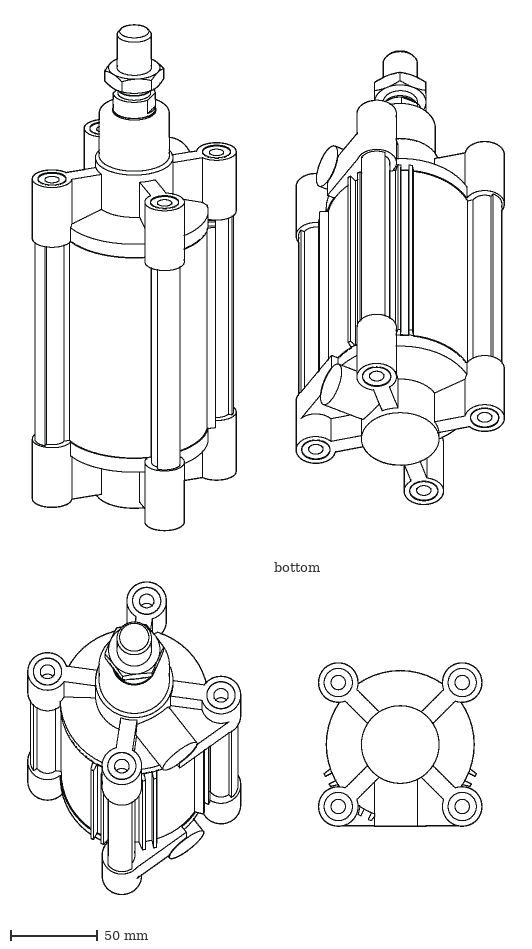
import cadquery as cq
import math

TOTAL_HEIGHT = 298.5
HEAD_HEIGHT = 38.8
REAR_HUB_STANDOUT = 4.0
BARREL_LENGTH = 130.0
REAR_FACE_Z = REAR_HUB_STANDOUT + HEAD_HEIGHT
FRONT_FACE_Z = REAR_FACE_Z + BARREL_LENGTH

CORNER_SPACING = 72.0
CORNER_OFFSET = CORNER_SPACING / 2
BOSS_RADIUS = 23.0 / 2
BOSS_RECESS_DIAMETER = 16.5
BOSS_RECESS_DEPTH = 0.5
BOSS_HOLE_DIAMETER = 8.5
BOSS_HOLE_DEPTH = 18.0
RIB_WIDTH = 9.5
FLANGE_RADIUS = 43.0
FLANGE_HEIGHT = 9.0
CONE_HEIGHT = 7.2
HUB_RADIUS = 45.0 / 2
COLLAR_RADIUS = 41.0 / 2
FRONT_HUB_STANDOUT = 6.3
HUB_SHOULDER_HEIGHT = 1.5
COLLAR_TOP_Z = 247.2
COLLAR_FILLET = 2.0
PORT_DIAMETER = 25.0
PORT_OFFSET_X = 2.5
PORT_AXIS_HEIGHT = 23.0
PAD_HEIGHT = 21.0
PAD_REACH_Y = 47.2

BARREL_RADIUS = 42.5
CORNER_BEAM_RADIUS = 15.2 / 2
CORNER_SHELL_RADIUS = 20.0 / 2
CORNER_WEB_WIDTH = 10.5
RAIL_ANGLE = 26.0
RAIL_ROOT_WIDTH = 10.5
RAIL_TOP_WIDTH = 8.5
RAIL_REACH = 47.2
RAIL_SLOT_WIDTH = 4.8

ROD_RADIUS = 25.0 / 2
ROD_END_RADIUS = 24.5 / 2
ROD_STEP_Z = 248.0
ROD_SHOULDER_Z = 258.5
ROD_FLATS_WIDTH = 22.0
ROD_FLATS_BOTTOM_Z = 249.8
NECK_RADIUS = 19.0 / 2
THREAD_RADIUS = 20.0 / 2
THREAD_BOTTOM_Z = 261.8
THREAD_RUNOUT = 0.5
THREAD_CHAMFER_LENGTH = 2.0
THREAD_CHAMFER_DEPTH = 1.5

NUT_WIDTH_ACROSS_FLATS = 29.8
NUT_BOTTOM_Z = 265.7
NUT_HEIGHT = 9.3
NUT_CHAMFER_ANGLE = 30.0

CORNERS = [
    (sx * CORNER_OFFSET, sy * CORNER_OFFSET) for sx in (-1, 1) for sy in (-1, 1)
]
CORNER_DIRECTIONS = (45, 135, 225, 315)
CORNER_DISTANCE = CORNER_OFFSET * math.sqrt(2)


def disc(radius, height):
    """Cylinder on the axis, standing on the XY plane."""
    return cq.Workplane("XY").circle(radius).extrude(height)


def radial_bar(inner, outer, width, height, angle):
    """Bar standing on the XY plane, running outward from the axis."""
    length = outer - inner
    bar = cq.Workplane("XY").center((inner + outer) / 2, 0).rect(length, width).extrude(height)
    return bar.rotate((0, 0, 0), (0, 0, 1), angle)


def make_head_blank(hub_standout):
    """Head standing on the XY plane, barrel face down, without its central bore."""
    cone_top = FLANGE_HEIGHT + CONE_HEIGHT
    hub_top = HEAD_HEIGHT + hub_standout
    core_profile = [
        (0, 0),
        (FLANGE_RADIUS, 0),
        (FLANGE_RADIUS, FLANGE_HEIGHT),
        (HUB_RADIUS, cone_top),
        (HUB_RADIUS, hub_top),
        (0, hub_top),
    ]
    head = cq.Workplane("XZ").polyline(core_profile).close().revolve(360, (0, 0, 0), (0, 1, 0))

    for angle in CORNER_DIRECTIONS:
        head = head.union(radial_bar(0, CORNER_DISTANCE, RIB_WIDTH, HEAD_HEIGHT, angle))
    head = head.union(cq.Workplane("XY").pushPoints(CORNERS).circle(BOSS_RADIUS).extrude(HEAD_HEIGHT))

    pad_outline = [
        (0, 0),
        (PORT_OFFSET_X, 0),
        (PORT_OFFSET_X, PAD_REACH_Y),
        (-CORNER_OFFSET, PAD_REACH_Y),
        (-CORNER_OFFSET, CORNER_OFFSET),
    ]
    head = head.union(cq.Workplane("XY").polyline(pad_outline).close().extrude(PAD_HEIGHT))

    port = (
        cq.Workplane("XZ")
        .center(PORT_OFFSET_X, PORT_AXIS_HEIGHT)
        .circle(PORT_DIAMETER / 2)
        .extrude(-(CORNER_OFFSET + BOSS_RADIUS))
    )
    head = head.union(port)

    hole_profile = [
        (0, HEAD_HEIGHT - BOSS_HOLE_DEPTH),
        (BOSS_HOLE_DIAMETER / 2, HEAD_HEIGHT - BOSS_HOLE_DEPTH),
        (BOSS_HOLE_DIAMETER / 2, HEAD_HEIGHT - BOSS_RECESS_DEPTH),
        (BOSS_RECESS_DIAMETER / 2, HEAD_HEIGHT - BOSS_RECESS_DEPTH),
        (BOSS_RECESS_DIAMETER / 2, HEAD_HEIGHT),
        (0, HEAD_HEIGHT),
    ]
    hole = cq.Workplane("XZ").polyline(hole_profile).close().revolve(360, (0, 0, 0), (0, 1, 0))
    for x, y in CORNERS:
        head = head.cut(hole.translate((x, y, 0)))
    return head


def make_front_head():
    """Front head with a sloped hub shoulder, a long collar and the rod bore."""
    collar_top = COLLAR_TOP_Z - FRONT_FACE_Z
    head = make_head_blank(FRONT_HUB_STANDOUT)
    head = head.faces(">Z").edges().chamfer(HUB_SHOULDER_HEIGHT, HUB_RADIUS - COLLAR_RADIUS)
    collar = disc(COLLAR_RADIUS, collar_top).faces(">Z").edges().fillet(COLLAR_FILLET)
    head = head.union(collar).cut(disc(ROD_RADIUS, collar_top))
    return head.translate((0, 0, FRONT_FACE_Z))


def make_rear_head():
    """Rear head: the plain head turned half a turn about Y, hub down."""
    head = make_head_blank(REAR_HUB_STANDOUT)
    return head.rotate((0, 0, 0), (0, 1, 0), 180).translate((0, 0, REAR_FACE_Z))


def make_corner_beam(angle):
    """Round corner beam with a thicker shell over its outward quarter."""
    shell_edge = CORNER_SHELL_RADIUS * math.cos(math.radians(45))
    shell = (
        cq.Workplane("XY")
        .lineTo(shell_edge, -shell_edge)
        .threePointArc((CORNER_SHELL_RADIUS, 0), (shell_edge, shell_edge))
        .close()
        .extrude(BARREL_LENGTH)
    )
    beam = disc(CORNER_BEAM_RADIUS, BARREL_LENGTH).union(shell)
    return beam.translate((CORNER_DISTANCE, 0, 0)).rotate((0, 0, 0), (0, 0, 1), angle)


def make_rail(angle):
    """Tapered sensor rail running up the barrel, with a slot along its middle."""
    root_half = RAIL_ROOT_WIDTH / 2
    top_half = RAIL_TOP_WIDTH / 2
    slot_half = RAIL_SLOT_WIDTH / 2
    outline = [
        (0, -root_half),
        (BARREL_RADIUS, -root_half),
        (RAIL_REACH, -top_half),
        (RAIL_REACH, -slot_half),
        (BARREL_RADIUS, -slot_half),
        (BARREL_RADIUS, slot_half),
        (RAIL_REACH, slot_half),
        (RAIL_REACH, top_half),
        (BARREL_RADIUS, root_half),
        (0, root_half),
    ]
    rail = cq.Workplane("XY").polyline(outline).close().extrude(BARREL_LENGTH)
    return rail.rotate((0, 0, 0), (0, 0, 1), angle)


def make_barrel():
    """Barrel with four corner beams on webs and four slotted sensor rails."""
    barrel = disc(BARREL_RADIUS, BARREL_LENGTH)
    for angle in CORNER_DIRECTIONS:
        barrel = barrel.union(radial_bar(0, CORNER_DISTANCE, CORNER_WEB_WIDTH, BARREL_LENGTH, angle))
        barrel = barrel.union(make_corner_beam(angle))
    for angle in (RAIL_ANGLE, 90 - RAIL_ANGLE, 90 + RAIL_ANGLE, 180 - RAIL_ANGLE):
        barrel = barrel.union(make_rail(angle))
    return barrel.translate((0, 0, REAR_FACE_Z))


def make_piston_rod():
    """Rod with wrench flats, a neck and a threaded end kept as a plain cylinder."""
    profile = [
        (0, FRONT_FACE_Z),
        (ROD_RADIUS, FRONT_FACE_Z),
        (ROD_RADIUS, ROD_STEP_Z),
        (ROD_END_RADIUS, ROD_STEP_Z),
        (ROD_END_RADIUS, ROD_SHOULDER_Z),
        (NECK_RADIUS, ROD_SHOULDER_Z),
        (NECK_RADIUS, THREAD_BOTTOM_Z - THREAD_RUNOUT),
        (THREAD_RADIUS, THREAD_BOTTOM_Z),
        (THREAD_RADIUS, TOTAL_HEIGHT - THREAD_CHAMFER_LENGTH),
        (THREAD_RADIUS - THREAD_CHAMFER_DEPTH, TOTAL_HEIGHT),
        (0, TOTAL_HEIGHT),
    ]
    rod = cq.Workplane("XZ").polyline(profile).close().revolve(360, (0, 0, 0), (0, 1, 0))

    flats_height = ROD_SHOULDER_Z - ROD_FLATS_BOTTOM_Z
    flats = cq.Workplane("XY").rect(ROD_FLATS_WIDTH, 2 * ROD_RADIUS).extrude(flats_height)
    waste = disc(2 * ROD_RADIUS, flats_height).cut(flats)
    return rod.cut(waste.translate((0, 0, ROD_FLATS_BOTTOM_Z)))


def make_lock_nut():
    """Hexagon nut with its corners on the Y axis, chamfered on both faces."""
    across_corners = NUT_WIDTH_ACROSS_FLATS / math.cos(math.radians(30))
    face_radius = NUT_WIDTH_ACROSS_FLATS / 2
    corner_radius = across_corners / 2
    drop = (corner_radius - face_radius) * math.tan(math.radians(NUT_CHAMFER_ANGLE))
    blank = cq.Workplane("XY").polygon(6, across_corners).extrude(NUT_HEIGHT)
    blank = blank.rotate((0, 0, 0), (0, 0, 1), 90)
    turned_blank = disc(corner_radius, NUT_HEIGHT).edges().chamfer(drop, corner_radius - face_radius)
    nut = blank.intersect(turned_blank).cut(disc(THREAD_RADIUS, NUT_HEIGHT))
    return nut.translate((0, 0, NUT_BOTTOM_Z))


front_head = make_front_head()
rear_head = make_rear_head()
barrel = make_barrel()
piston_rod = make_piston_rod()
lock_nut = make_lock_nut()

result = cq.Compound.makeCompound(
    [front_head.val(), rear_head.val(), barrel.val(), piston_rod.val(), lock_nut.val()]
)